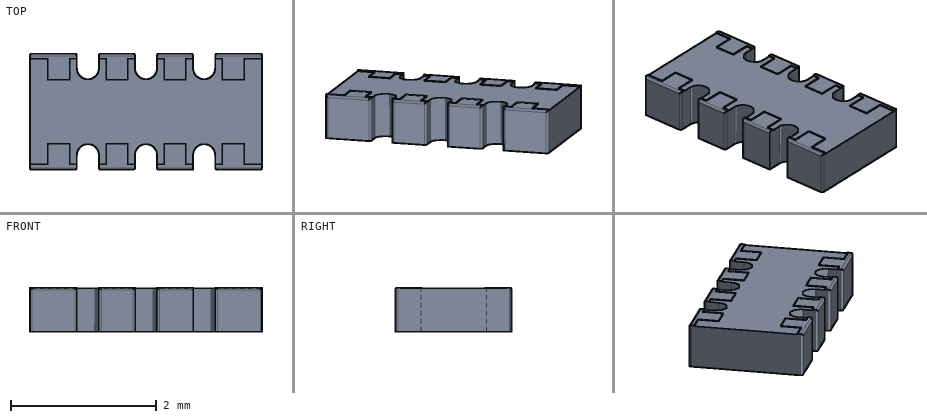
import cadquery as cq

length = 3.2
width = 1.6
height = 0.61
electrode_thickness = 0.01
body_height = height - electrode_thickness
edge_radius = 0.03

terminals_per_side = 4
pitch = length / terminals_per_side
slot_width = 0.3
slot_depth = 0.352

electrode_reach = 0.36
bar_width = 0.075
stem_width = 0.3


def centred_positions(count):
    """X positions of a row of features spaced by the terminal pitch."""
    return [(i - (count - 1) / 2) * pitch for i in range(count)]


def front_rectangle(x, size_x, size_y, thickness):
    """Block reaching size_y inward from the -Y side, starting at z = 0."""
    return (
        cq.Workplane("XY")
        .center(x, (size_y - width) / 2)
        .rect(size_x, size_y)
        .extrude(thickness)
    )


def both_sides(shape):
    """A front-side feature together with its mirror image on the back side."""
    return shape.union(shape.mirror("XZ"))


def make_electrodes():
    """Edge bars with one stem per terminal, resting on the body."""
    electrodes = front_rectangle(0, length, bar_width, electrode_thickness)
    for x in centred_positions(terminals_per_side):
        stem = front_rectangle(x, stem_width, electrode_reach, electrode_thickness)
        electrodes = electrodes.union(stem)
    return both_sides(electrodes).translate((0, 0, body_height))


def make_slots():
    """Full-height slots between neighbouring terminals."""
    straight_depth = slot_depth - slot_width / 2
    slots = cq.Workplane("XY")
    for x in centred_positions(terminals_per_side - 1):
        slot_end = (
            cq.Workplane("XY")
            .center(x, straight_depth - width / 2)
            .circle(slot_width / 2)
            .extrude(height)
        )
        slot_mouth = front_rectangle(x, slot_width, straight_depth, height)
        slots = slots.add(slot_mouth.union(slot_end))
    return both_sides(slots.combine())


def make_rounded_plan():
    """Full-height plan shape with slots and all vertical outer corners rounded but one."""
    plan = cq.Workplane("XY").rect(length, width).extrude(height).cut(make_slots())

    last_slot_x = centred_positions(terminals_per_side - 1)[-1]
    sharp_corner = (last_slot_x - slot_width / 2, -width / 2, height / 2)
    vertical = cq.selectors.ParallelDirSelector(cq.Vector(0, 0, 1))
    sharp = cq.selectors.NearestToPointSelector(sharp_corner)

    return plan.faces("<Y or >Y").edges(vertical - sharp).fillet(edge_radius)


def make_rounded_bar():
    """Bar along X whose two long top edges are rounded."""
    bar = cq.Workplane("XY").rect(length, width).extrude(height)
    return bar.faces(">Z").edges("|X").fillet(edge_radius)


body = cq.Workplane("XY").rect(length, width).extrude(body_height)

result = body.union(make_electrodes()).intersect(make_rounded_plan()).intersect(make_rounded_bar())